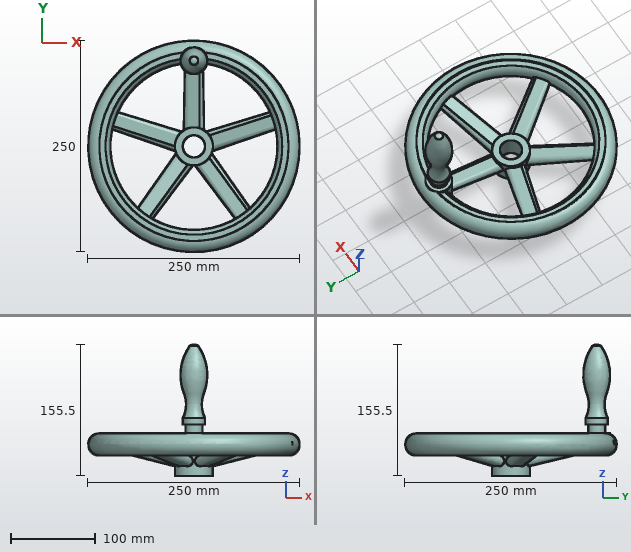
import cadquery as cq
import math

outer_radius = 125.0
tube_radius = 13.2
tube_center_radius = outer_radius - tube_radius
rim_mid_z = 37.5
ledge_depth = 2.2
rim_top_z = rim_mid_z + tube_radius
ledge_z = rim_top_z - ledge_depth

hub_radius = 22.5
hub_height = 29.5
bore_radius = 13.0

spoke_count = 5
spoke_flat_width = 13.5
spoke_inner_distance = 17.5
spoke_outer_distance = 102.5
spoke_inner_thickness = 13.5
spoke_outer_thickness = 8.5
spoke_inner_bulge = 5.5
spoke_outer_bulge = 4.0
spoke_inner_mid_z = 17.5
spoke_outer_mid_z = 35.5

handle_distance = 101.2
boss_radius = 15.8
boss_bottom_z = 26.8

pin_radius = 10.2
collar_radius = 13.2
collar_bottom_z = 61.0
collar_top_z = 68.5
neck_radius = 9.5
neck_z = 84.8
belly_start_radius = 12.2
belly_start_z = 98.8
belly_radius = 16.0
belly_z = 120.0
tip_radius = 5.0
tip_z = 154.0
total_height = 155.5


def make_rim():
    tube = (
        cq.Workplane("XZ")
        .center(tube_center_radius, rim_mid_z)
        .circle(tube_radius)
        .revolve(360, (-tube_center_radius, 0), (-tube_center_radius, 1))
    )
    ledge_cut = (
        cq.Workplane("XY", origin=(0, 0, ledge_z))
        .circle(tube_center_radius)
        .extrude(tube_radius)
    )
    return tube.cut(ledge_cut)


def spoke_section(distance, mid_z, thickness, bulge):
    plane = cq.Plane(origin=(0, distance, mid_z), xDir=(-1, 0, 0), normal=(0, 1, 0))
    half_flat = spoke_flat_width / 2
    half_thickness = thickness / 2
    return (
        cq.Workplane(plane)
        .moveTo(-half_flat, -half_thickness)
        .lineTo(half_flat, -half_thickness)
        .threePointArc((half_flat + bulge, 0), (half_flat, half_thickness))
        .lineTo(-half_flat, half_thickness)
        .threePointArc((-half_flat - bulge, 0), (-half_flat, -half_thickness))
        .close()
        .val()
    )


def make_spoke():
    inner = spoke_section(
        spoke_inner_distance, spoke_inner_mid_z, spoke_inner_thickness, spoke_inner_bulge
    )
    outer = spoke_section(
        spoke_outer_distance, spoke_outer_mid_z, spoke_outer_thickness, spoke_outer_bulge
    )
    return cq.Workplane(cq.Solid.makeLoft([inner, outer], True))


def make_boss():
    return (
        cq.Workplane("XY", origin=(0, handle_distance, boss_bottom_z))
        .circle(boss_radius)
        .extrude(rim_top_z - boss_bottom_z)
    )


def flare_arc_middle(end_radius, end_z):
    """Midpoint of an arc that leaves the neck parallel to the handle axis."""
    rise = end_z - neck_z
    flare = end_radius - neck_radius
    arc_radius = (rise**2 + flare**2) / (2 * flare)
    half_rise = rise / 2
    return (
        neck_radius + arc_radius - math.sqrt(arc_radius**2 - half_rise**2),
        neck_z + half_rise,
    )


def make_handle():
    tip_height = total_height - tip_z
    dome_radius = (tip_radius**2 + tip_height**2) / (2 * tip_height)
    dome_mid_radius = tip_radius / 2
    dome_mid_z = total_height - dome_radius + math.sqrt(dome_radius**2 - dome_mid_radius**2)
    profile = (
        cq.Workplane("XZ")
        .moveTo(0, rim_mid_z)
        .lineTo(pin_radius, rim_mid_z)
        .lineTo(pin_radius, collar_bottom_z)
        .lineTo(collar_radius, collar_bottom_z)
        .lineTo(collar_radius, collar_top_z)
        .threePointArc(flare_arc_middle(collar_radius, collar_top_z), (neck_radius, neck_z))
        .threePointArc(
            flare_arc_middle(belly_start_radius, belly_start_z),
            (belly_start_radius, belly_start_z),
        )
        .threePointArc((belly_radius, belly_z), (tip_radius, tip_z))
        .threePointArc((dome_mid_radius, dome_mid_z), (0, total_height))
        .close()
    )
    return profile.revolve(360, (0, 0), (0, 1)).translate((0, handle_distance, 0))


wheel = make_rim().union(cq.Workplane("XY").circle(hub_radius).extrude(hub_height))

spoke = make_spoke()
for index in range(spoke_count):
    angle = index * 360 / spoke_count
    wheel = wheel.union(spoke.rotate((0, 0, 0), (0, 0, 1), angle))

bore = cq.Workplane("XY").circle(bore_radius).extrude(hub_height)
result = wheel.union(make_boss()).union(make_handle()).cut(bore)